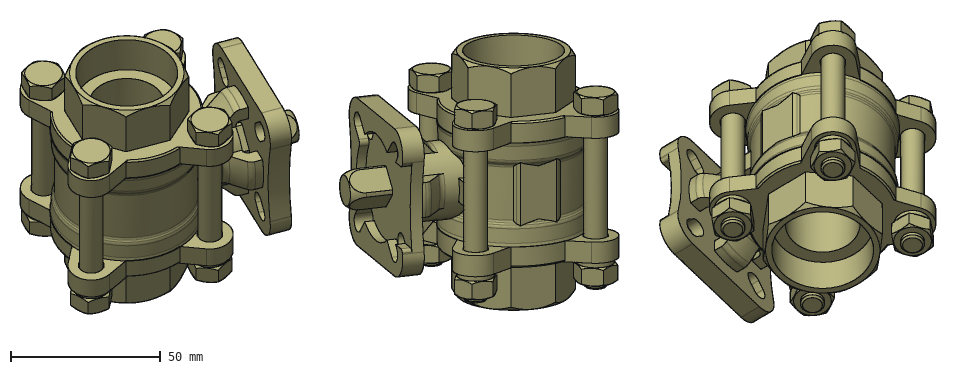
import cadquery as cq
import math


overall_width = 58.28
end_height = 42.5
flange_inner = 18.2
flange_outer = 25.6
flange_diameter = 51.0
flange_chamfer = 0.6
bore_diameter = 25.0
socket_diameter = 34.0
socket_depth = 13.2
octagon_flats = 38.3
octagon_end_radius = 19.1
octagon_cone_slope = 1.0
barrel_radius = 24.2
barrel_height = 9.3
flare_angle = 32.0
flare_foot_height = 10.16
flare_crest_height = 10.8
rim_height = 12.0
lip_height = 17.0
lip_radius = 25.5
root_radius = 25.75

pad_half_width = 6.4
pad_shoulder = (23.4, 7.6)
pad_root = (22.4, 8.7)

block_face = 17.4
block_height = 8.3
block_end = barrel_radius
block_start = 10.0
block_inner = 5.0

bolt_circle = 60.4
bolt_offset = bolt_circle / 2 * math.sqrt(0.5)
lug_radius = overall_width / 2 - bolt_offset
lug_side_angle = 30.0
lug_side_length = 12.0
bolt_diameter = 8.0
bolt_hole_diameter = 8.5
hexagon_flats = 13.0
hexagon_height = 6.5
hexagon_end_radius = 6.3
hexagon_cone_slope = math.tan(math.radians(30))
washer_diameter = 12.5
washer_thickness = 2.05
bolt_tail = 2.0
bolt_end_chamfer = 0.7

neck_diameter = 26.6
neck_start = 18.0
neck_top = 36.8
strut_width = 12.2
strut_radius = 19.85
strut_bend_radius = 3.2
strut_root_radius = 3.0
strut_bend_end = 36.15
cavity_diameter = 30.5
cavity_corner = 1.8
plate_bottom = 41.3
plate_top = 49.0
plate_half = 25.85
plate_corner_radius = 8.0
plate_waist = 23.9
waist_half_length = 15.9
slot_width = 6.5
slot_circles = (43.0, 50.0)
recess_radius = 18.7
recess_depth = 3.4
recess_corner = 2.0
opening_half_width = 14.4
opening_corner = 1.4

stem_tip = 60.0
stem_diameter = 14.1
stem_square = 11.0
stem_tip_radius = 5.25
stem_round_length = 5.1


def cylinder_y(radius, start, end):
    """Cylinder around the stem axis from Y = start to Y = end."""
    return cq.Workplane("XZ", origin=(0, start, 0)).circle(radius).extrude(start - end)


def chamfered_prism(sides, flats, height, start_radius, slope, both_ends):
    """Regular prism standing on Z = 0, corners cut by a cone at the top or at both ends."""
    corner_radius = flats / 2 / math.cos(math.pi / sides)
    prism = cq.Workplane("XY").polygon(sides, 2 * corner_radius).extrude(height)
    reach = 1.1 * corner_radius
    drop = (reach - start_radius) * slope
    points = [(0, 0), (reach, 0), (reach, height - drop), (start_radius, height), (0, height)]
    if both_ends:
        points[1:2] = [(start_radius, 0), (reach, drop)]
    envelope = cq.Workplane("XZ").polyline(points).close().revolve(360, (0, 0, 0), (0, 1, 0))
    return prism.intersect(envelope)


def flare_profile():
    """Points (radius, height) of the flare, from the foot round up to the rim."""
    lean = math.radians(flare_angle)
    foot_arc = (flare_foot_height - barrel_height) / math.sin(lean)
    crest_arc = (rim_height - flare_crest_height) / math.sin(lean)
    foot_radius = barrel_radius + foot_arc * (1 - math.cos(lean))
    foot_middle = (
        barrel_radius + foot_arc * (1 - math.cos(lean / 2)),
        barrel_height + foot_arc * math.sin(lean / 2),
    )
    crest_radius = foot_radius + (flare_crest_height - flare_foot_height) * math.tan(lean)
    rim_radius = crest_radius + crest_arc * (1 - math.cos(lean))
    crest_middle = (
        rim_radius - crest_arc * (1 - math.cos(lean / 2)),
        rim_height - crest_arc * math.sin(lean / 2),
    )
    foot = (foot_radius, flare_foot_height)
    crest = (crest_radius, flare_crest_height)
    return foot_middle, foot, crest, crest_middle, (rim_radius, rim_height)


def make_barrel():
    """Middle body, turned about Z, with the flat pad on its -X side."""
    foot_middle, foot, crest, crest_middle, rim = flare_profile()
    upper_half = (
        cq.Workplane("XZ")
        .lineTo(barrel_radius, 0)
        .lineTo(barrel_radius, barrel_height)
        .threePointArc(foot_middle, foot)
        .lineTo(*crest)
        .threePointArc(crest_middle, rim)
        .lineTo(lip_radius, lip_height)
        .lineTo(root_radius, flange_inner)
        .lineTo(0, flange_inner)
        .close()
        .revolve(360, (0, 0, 0), (0, 1, 0))
    )
    barrel = upper_half.union(upper_half.mirror("XY")).clean()
    half_outline = [(-barrel_radius, pad_half_width)]
    half_outline += [(-distance, half) for distance, half in (pad_shoulder, pad_root)]
    mirrored = [(x, -y) for x, y in reversed(half_outline)]
    pad = (
        cq.Workplane("XY", origin=(0, 0, -rim_height))
        .polyline(half_outline + mirrored)
        .close()
        .extrude(2 * rim_height)
    )
    return barrel.union(pad)


def make_block():
    """Small block in the corner between the neck and the barrel."""
    width = block_face - block_inner
    length = block_end - block_start
    centre = (-block_inner - width / 2, block_start + length / 2, 0)
    return cq.Workplane("XY").box(width, length, block_height).translate(centre)


def polar(centre, distance, angle):
    """Point at a distance from a centre, in the direction of an angle in degrees."""
    turn = math.radians(angle)
    return (centre[0] + distance * math.cos(turn), centre[1] + distance * math.sin(turn))


def make_cap():
    """End cap at +Z: flange disc, four bolt lugs and the octagonal socket end."""
    thickness = flange_outer - flange_inner
    plane = cq.Workplane("XY", origin=(0, 0, flange_inner))
    cap = plane.circle(flange_diameter / 2).extrude(thickness).faces(">Z").chamfer(flange_chamfer)
    centre = (bolt_offset, bolt_offset)
    side_a = polar(centre, lug_radius, 90 + lug_side_angle)
    side_b = polar(centre, lug_radius, -lug_side_angle)
    web = [
        side_a,
        polar(side_a, lug_side_length, 180 + lug_side_angle),
        polar(side_b, lug_side_length, 270 - lug_side_angle),
        side_b,
    ]
    lug = plane.polyline(web).close().extrude(thickness)
    lug = lug.union(plane.center(*centre).circle(lug_radius).extrude(thickness))
    lug = lug.cut(plane.center(*centre).circle(bolt_hole_diameter / 2).extrude(thickness))
    for quarter in range(4):
        cap = cap.union(lug.rotate((0, 0, 0), (0, 0, 1), 90 * quarter))
    length = end_height - flange_inner
    half_side_angle = 360 / 8 / 2
    octagon = chamfered_prism(8, octagon_flats, length, octagon_end_radius, octagon_cone_slope, False)
    octagon = octagon.rotate((0, 0, 0), (0, 0, 1), half_side_angle).translate((0, 0, flange_inner))
    socket = (
        cq.Workplane("XY", origin=(0, 0, end_height - socket_depth))
        .circle(socket_diameter / 2)
        .extrude(socket_depth)
    )
    return cap.union(octagon).cut(socket)


def make_bolt():
    """Bolt with head, washer and nut, standing on the axis."""
    hexagon = chamfered_prism(
        6, hexagon_flats, hexagon_height, hexagon_end_radius, hexagon_cone_slope, True
    )
    nut_bottom = -flange_outer - washer_thickness - hexagon_height
    bolt_bottom = nut_bottom - bolt_tail
    shank = (
        cq.Workplane("XY", origin=(0, 0, bolt_bottom))
        .circle(bolt_diameter / 2)
        .extrude(flange_outer - bolt_bottom)
        .faces("<Z")
        .chamfer(bolt_end_chamfer)
    )
    washer = (
        cq.Workplane("XY", origin=(0, 0, -flange_outer))
        .circle(washer_diameter / 2)
        .extrude(-washer_thickness)
    )
    head = hexagon.translate((0, 0, flange_outer))
    nut = hexagon.translate((0, 0, nut_bottom))
    return shank.union(head).union(washer).union(nut)


def make_neck():
    """Stem neck with four struts that flare out to carry the mounting plate."""
    diagonal = math.sqrt(0.5)
    bend_inset = strut_bend_radius * (1 - diagonal)
    bend_start = strut_bend_end + strut_bend_radius * diagonal
    slope_top = strut_radius - bend_inset
    root_inset = strut_root_radius * (1 - diagonal)
    slope_bottom = neck_diameter / 2 + root_inset
    slope_end = strut_bend_end - (slope_top - slope_bottom)
    root_end = slope_end - strut_root_radius * diagonal
    half_turn = math.radians(45) / 2
    root_middle = (
        neck_diameter / 2 + strut_root_radius * (1 - math.cos(half_turn)),
        root_end + strut_root_radius * math.sin(half_turn),
    )
    bend_middle = (
        strut_radius - strut_bend_radius * (1 - math.cos(half_turn)),
        bend_start - strut_bend_radius * math.sin(half_turn),
    )
    flare = (
        cq.Workplane("XY")
        .moveTo(0, root_end)
        .lineTo(neck_diameter / 2, root_end)
        .threePointArc(root_middle, (slope_bottom, slope_end))
        .lineTo(slope_top, strut_bend_end)
        .threePointArc(bend_middle, (strut_radius, bend_start))
        .lineTo(strut_radius, plate_bottom)
        .lineTo(0, plate_bottom)
        .close()
        .revolve(360, (0, 0, 0), (0, 1, 0))
    )
    cavity = cylinder_y(cavity_diameter / 2, neck_top, plate_bottom)
    cavity = cavity.faces("<Y").edges().fillet(cavity_corner)
    middle = (neck_start + plate_bottom) / 2
    bar = cq.Workplane("XY").box(2 * plate_half, plate_bottom - neck_start, strut_width)
    cross = bar.union(bar.rotate((0, 0, 0), (0, 1, 0), 90)).translate((0, middle, 0))
    struts = flare.intersect(cross).cut(cavity)
    return struts.union(cylinder_y(neck_diameter / 2, neck_start, neck_top))


def plate_outline():
    """Outline in X and Z: straight top and bottom, round corners, hollow sides."""
    centre = plate_half - plate_corner_radius
    drop = centre - waist_half_length
    end_x = centre + math.sqrt(plate_corner_radius**2 - drop**2)
    crown = centre + plate_corner_radius * math.sqrt(0.5)
    return (
        cq.Workplane("XZ", origin=(0, plate_bottom, 0))
        .moveTo(-centre, plate_half)
        .lineTo(centre, plate_half)
        .threePointArc((crown, crown), (end_x, waist_half_length))
        .threePointArc((plate_waist, 0), (end_x, -waist_half_length))
        .threePointArc((crown, -crown), (centre, -plate_half))
        .lineTo(-centre, -plate_half)
        .threePointArc((-crown, -crown), (-end_x, -waist_half_length))
        .threePointArc((-plate_waist, 0), (-end_x, waist_half_length))
        .threePointArc((-crown, crown), (-centre, plate_half))
        .close()
    )


def radial_slot(inner, start, depth):
    """Slot tool along +X from radius inner to the outer slot circle, cut toward +Y."""
    outer = slot_circles[1] / 2
    return (
        cq.Workplane("XZ", origin=(0, start, 0))
        .center((inner + outer) / 2, 0)
        .slot2D(outer - inner + slot_width, slot_width)
        .extrude(-depth)
    )


def make_recess():
    """Tool for the round recess, open to -X and joined with the outer parts of the slots."""
    floor = plate_top - recess_depth
    recess = cylinder_y(recess_radius, floor, plate_top)
    opening = (
        cq.Workplane("XY")
        .box(plate_half, recess_depth, 2 * opening_half_width)
        .translate((-plate_half / 2, floor + recess_depth / 2, 0))
    )
    joining_slot = radial_slot(recess_radius / 2, floor, recess_depth)
    for quarter in range(4):
        recess = recess.union(joining_slot.rotate((0, 0, 0), (0, 1, 0), 45 + 90 * quarter))
    corners = cq.selectors.BoxSelector(
        (0, floor, -opening_half_width), (plate_half, plate_top, opening_half_width)
    )
    recess = recess.edges("|Y").edges(corners).fillet(recess_corner)
    return recess.union(opening)


def make_plate():
    """Mounting plate with hollow -X and +X sides, four radial slots and an open recess."""
    thickness = plate_top - plate_bottom
    plate = plate_outline().extrude(-thickness).cut(make_recess())
    mouth = cq.selectors.BoxSelector(
        (-plate_half, plate_top - recess_depth, -waist_half_length),
        (-plate_waist, plate_top, waist_half_length),
    )
    plate = plate.edges("|Y").edges(mouth).fillet(opening_corner)
    slot = radial_slot(slot_circles[0] / 2, plate_bottom, thickness)
    for quarter in range(4):
        plate = plate.cut(slot.rotate((0, 0, 0), (0, 1, 0), 45 + 90 * quarter))
    return plate


def make_stem():
    """Round stem whose outer end is a square set on its corner, with a rounded tip."""
    radius = stem_diameter / 2
    round_start = stem_tip - stem_round_length
    inset = radius - stem_tip_radius
    round_radius = (inset**2 + stem_round_length**2) / (2 * inset)
    turn = math.asin(stem_round_length / round_radius) / 2
    arc_middle = (
        radius - round_radius * (1 - math.cos(turn)),
        round_start + round_radius * math.sin(turn),
    )
    stem = (
        cq.Workplane("XY")
        .moveTo(0, neck_top)
        .lineTo(radius, neck_top)
        .lineTo(radius, round_start)
        .threePointArc(arc_middle, (stem_tip_radius, stem_tip))
        .lineTo(0, stem_tip)
        .close()
        .revolve(360, (0, 0, 0), (0, 1, 0))
    )
    square_length = stem_tip - neck_top
    square = (
        cq.Workplane("XY")
        .box(stem_square, square_length, stem_square)
        .rotate((0, 0, 0), (0, 1, 0), 45)
        .translate((0, neck_top + square_length / 2, 0))
    )
    return stem.intersect(square)


cap = make_cap()
valve = make_barrel().union(cap).union(cap.mirror("XY"))
valve = valve.union(make_neck()).union(make_block()).union(make_plate()).union(make_stem())
valve = valve.cut(cq.Workplane("XY").circle(bore_diameter / 2).extrude(end_height, both=True))
bolt = make_bolt().translate((bolt_offset, bolt_offset, 0))
for quarter in range(4):
    valve = valve.union(bolt.rotate((0, 0, 0), (0, 0, 1), 90 * quarter))

result = valve